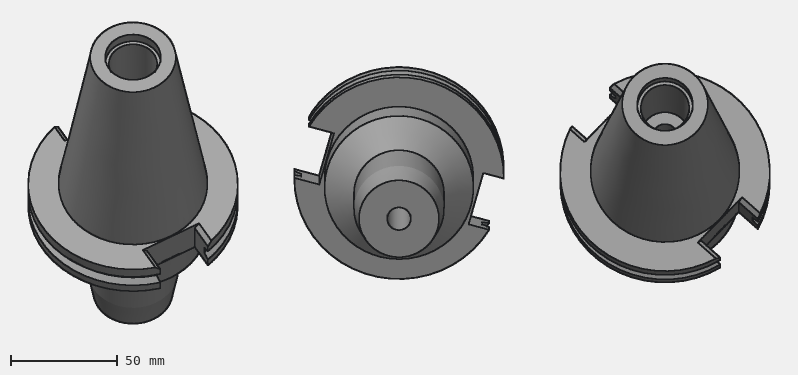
import cadquery as cq

total_height = 190.5
nose_height = 16.4
neck_top = 43.5
shoulder_top = 53.7
flange_bottom = 69.7
flange_top = 87.5
taper_base = 88.8

nose_diameter = 37.5
neck_diameter = 42.3
body_diameter = 70.0
flange_diameter = 98.5
taper_tip_diameter = 40.2

groove_diameter = 91.8
groove_middle = 78.0
groove_floor_width = 3.6
groove_mouth_width = 6.9

slot_width = 26.0
slot_chamfer = 2.3
left_floor = 37.5
right_floor = 35.2

pilot_diameter = 26.1
pilot_depth = 5.5
thread_bore_diameter = 22.7
thread_bore_depth = 47.6
through_diameter = 11.0


def turned_body():
    outline = [
        (0, 0),
        (nose_diameter / 2, 0),
        (neck_diameter / 2, nose_height),
        (neck_diameter / 2, neck_top),
        (body_diameter / 2, shoulder_top),
        (body_diameter / 2, flange_bottom),
        (flange_diameter / 2, flange_bottom),
        (flange_diameter / 2, groove_middle - groove_mouth_width / 2),
        (groove_diameter / 2, groove_middle - groove_floor_width / 2),
        (groove_diameter / 2, groove_middle + groove_floor_width / 2),
        (flange_diameter / 2, groove_middle + groove_mouth_width / 2),
        (flange_diameter / 2, flange_top),
        (body_diameter / 2, flange_top),
        (body_diameter / 2, taper_base),
        (taper_tip_diameter / 2, total_height),
        (0, total_height),
    ]
    return cq.Workplane("XZ").polyline(outline).close().revolve(360, (0, 0), (0, 1))


def drive_slot(floor, side):
    """Slot through the flange on the +X (side=1) or -X (side=-1) side, flared at the top."""
    half_width = slot_width / 2
    half_mouth = half_width + slot_chamfer
    section = [
        (-half_width, flange_bottom),
        (half_width, flange_bottom),
        (half_width, flange_top - slot_chamfer),
        (half_mouth, flange_top),
        (-half_mouth, flange_top),
        (-half_width, flange_top - slot_chamfer),
    ]
    plane = cq.Workplane("YZ", origin=(side * floor, 0, 0))
    return plane.polyline(section).close().extrude(side * flange_diameter / 2)


def axial_bore(diameter, depth):
    tip = cq.Workplane("XY", origin=(0, 0, total_height))
    return tip.circle(diameter / 2).extrude(-depth)


result = turned_body()
result = result.cut(drive_slot(left_floor, -1))
result = result.cut(drive_slot(right_floor, 1))
for bore_diameter, bore_depth in (
    (pilot_diameter, pilot_depth),
    (thread_bore_diameter, thread_bore_depth),
    (through_diameter, total_height),
):
    result = result.cut(axial_bore(bore_diameter, bore_depth))